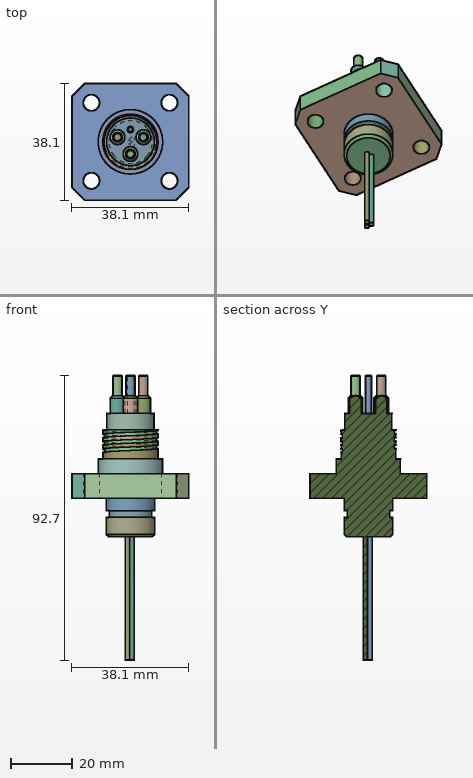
import cadquery as cq
import math

FLANGE_SIZE = 38.1
FLANGE_THICKNESS = 8.0
CORNER_CHAMFER = 4.2
HOLE_DIAMETER = 5.2
HOLE_SPACING = 25.4

COLLAR_DIAMETER = 21.0
COLLAR_TOP = 12.8
THREAD_DIAMETER = 18.0
THREAD_TOP = 22.3
INSERT_DIAMETER = 15.5
INSERT_TOP = 27.6

THREAD_PITCH = 2.4
THREAD_GROOVE_WIDTH = 1.15
THREAD_GROOVE_DEPTH = 0.45
THREAD_START_HEIGHT = 15.4
THREAD_START_ANGLE = 161.0
BLANK_EXTRA_TURNS = 2

SPIGOT_DIAMETER = 15.9
SPIGOT_LENGTH = 12.6
SPIGOT_END_CHAMFER = 0.9
RING_GROOVE_DIAMETER = 13.9
RING_GROOVE_TOP = -4.0
RING_GROOVE_WIDTH = 2.2
RING_GROOVE_ROOT_FILLET = 0.3

PIN_TOP = 40.0
PIN_DIAMETER = 3.0
PIN_SLEEVE_DIAMETER = 4.8
PIN_SLEEVE_TOP = 33.4
PIN_SLEEVE_CHAMFER = 0.85
PIN_TIP_CHAMFER = 0.3
PIN_POSITIONS = [(-4.2, 1.5), (4.2, 1.5), (0.0, -4.0)]
GROUND_PIN_DIAMETER = 2.0
GROUND_PIN_POSITION = (0.0, 4.0)

WIRE_DIAMETER = 1.5
WIRE_COUNT = 3
WIRE_CIRCLE_RADIUS = 1.0
FIRST_WIRE_ANGLE = math.pi
OVERALL_LENGTH = 92.7
WIRE_END = PIN_TOP - OVERALL_LENGTH

OVERLAP = 1.0


def cylinder(diameter, bottom, top, position=(0.0, 0.0)):
    """Upright cylinder between two heights."""
    return (
        cq.Workplane("XY", origin=(*position, bottom))
        .circle(diameter / 2)
        .extrude(top - bottom)
    )


def make_flange():
    """Square plate with cut corners and four through holes."""
    return (
        cq.Workplane("XY")
        .rect(FLANGE_SIZE, FLANGE_SIZE)
        .extrude(FLANGE_THICKNESS)
        .edges("|Z")
        .chamfer(CORNER_CHAMFER)
        .faces(">Z")
        .workplane()
        .rect(HOLE_SPACING, HOLE_SPACING, forConstruction=True)
        .vertices()
        .hole(HOLE_DIAMETER)
    )


def make_thread_groove():
    """Rectangular section swept along a right-hand helix."""
    rise = THREAD_TOP + THREAD_GROOVE_WIDTH - THREAD_START_HEIGHT
    neck_radius = THREAD_DIAMETER / 2
    root_radius = neck_radius - THREAD_GROOVE_DEPTH
    section_width = THREAD_GROOVE_DEPTH + OVERLAP
    path_radius = root_radius + section_width / 2
    helix = cq.Wire.makeHelix(THREAD_PITCH, rise, path_radius)
    groove = (
        cq.Workplane("XZ")
        .center(path_radius, 0)
        .rect(section_width, THREAD_GROOVE_WIDTH)
        .sweep(cq.Workplane(helix), isFrenet=True)
    )
    return groove.rotate((0, 0, 0), (0, 0, 1), THREAD_START_ANGLE).translate((0, 0, THREAD_START_HEIGHT))


def make_threaded_neck():
    """Neck grooved as an over-long blank, then trimmed so the groove runs out at the top."""
    blank_top = THREAD_TOP + BLANK_EXTRA_TURNS * THREAD_PITCH
    neck = cylinder(THREAD_DIAMETER, COLLAR_TOP - OVERLAP, blank_top).cut(make_thread_groove())
    return neck.cut(cylinder(COLLAR_DIAMETER, THREAD_TOP, blank_top + OVERLAP))


def make_spigot():
    """Plug with a chamfered end and a ring groove with filleted root corners."""
    spigot = cylinder(SPIGOT_DIAMETER, -SPIGOT_LENGTH, OVERLAP)
    spigot = spigot.faces("<Z").edges().chamfer(SPIGOT_END_CHAMFER)
    cutter_diameter = SPIGOT_DIAMETER + OVERLAP
    groove_bottom = RING_GROOVE_TOP - RING_GROOVE_WIDTH
    ring = (
        cq.Workplane("XY", origin=(0, 0, groove_bottom))
        .circle(cutter_diameter / 2)
        .circle(RING_GROOVE_DIAMETER / 2)
        .extrude(RING_GROOVE_WIDTH)
        .edges(cq.selectors.RadiusNthSelector(0))
        .fillet(RING_GROOVE_ROOT_FILLET)
    )
    return spigot.cut(ring)


def make_pin(diameter, position):
    """Contact pin with a chamfered tip."""
    pin = cylinder(diameter, INSERT_TOP - OVERLAP, PIN_TOP, position)
    return pin.faces(">Z").edges().chamfer(PIN_TIP_CHAMFER)


def make_sleeve(position):
    """Insulating sleeve around a pin, chamfered at its top."""
    sleeve = cylinder(PIN_SLEEVE_DIAMETER, INSERT_TOP - OVERLAP, PIN_SLEEVE_TOP, position)
    return sleeve.faces(">Z").edges().chamfer(PIN_SLEEVE_CHAMFER)


def make_wire(index):
    """One of the wires spaced evenly on a small circle."""
    angle = FIRST_WIRE_ANGLE + index * 2 * math.pi / WIRE_COUNT
    position = (WIRE_CIRCLE_RADIUS * math.cos(angle), WIRE_CIRCLE_RADIUS * math.sin(angle))
    return cylinder(WIRE_DIAMETER, WIRE_END, OVERLAP - SPIGOT_LENGTH, position)


result = (
    make_flange()
    .union(cylinder(COLLAR_DIAMETER, FLANGE_THICKNESS - OVERLAP, COLLAR_TOP))
    .union(make_threaded_neck())
    .union(cylinder(INSERT_DIAMETER, THREAD_TOP - OVERLAP, INSERT_TOP))
    .union(make_spigot())
    .union(make_pin(GROUND_PIN_DIAMETER, GROUND_PIN_POSITION))
)
for pin_position in PIN_POSITIONS:
    result = result.union(make_sleeve(pin_position)).union(make_pin(PIN_DIAMETER, pin_position))
for wire_index in range(WIRE_COUNT):
    result = result.union(make_wire(wire_index))